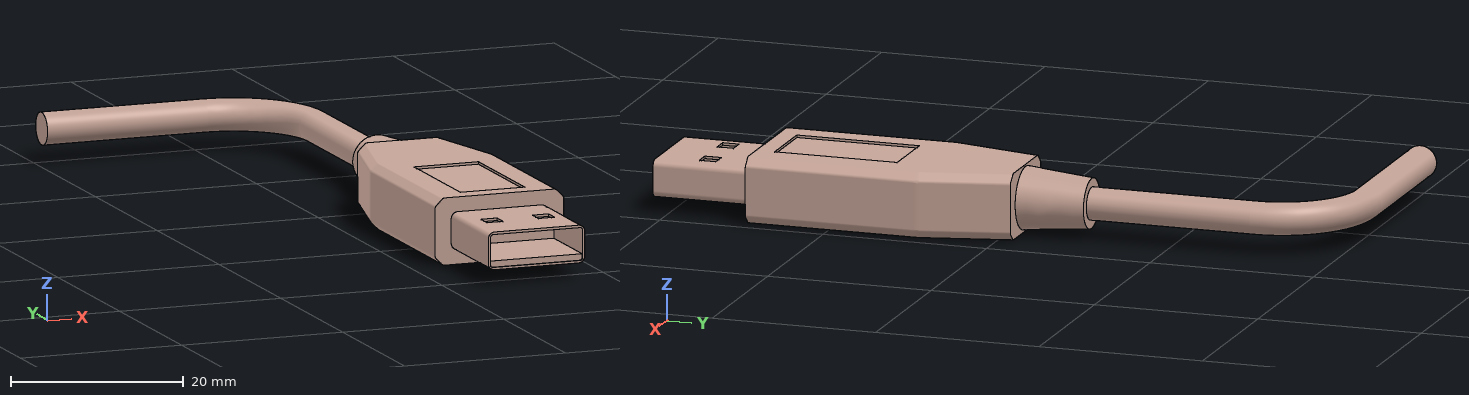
import cadquery as cq
import math


grip_width = 16.0
grip_height = 8.0
grip_length = 31.6
grip_rear_width = 11.0
taper_length = 10.65
taper_blend_radius = 2.8
grip_chamfer = 1.0
chamfer_blend_radius = 0.5

panel_width = 8.0
panel_length = 15.0
panel_front_gap = 2.25
panel_depth = 0.3

shell_width = 12.0
shell_height = 4.5
shell_length = 12.0
shell_corner_radius = 0.8
shell_wall = 0.3
opening_corner_radius = 0.3
cavity_depth = 9.3

tongue_thickness = 0.75
tongue_setback = 0.15

window_size = 2.0
window_spacing = 6.4
window_front_distance = 6.1

relief_length = 8.1
relief_front_diameter = 7.5
relief_rear_diameter = 6.0

cable_diameter = 3.9
cable_straight = 20.0
bend_radius = 10.08


def make_grip():
    """Tapered block with its long top and bottom edges chamfered and softened."""
    half_width = grip_width / 2
    half_rear = grip_rear_width / 2
    shoulder_y = grip_length - taper_length
    body = (
        cq.Workplane("XY")
        .workplane(offset=-grip_height / 2)
        .moveTo(-half_width, 0)
        .lineTo(half_width, 0)
        .lineTo(half_width, shoulder_y)
        .lineTo(half_rear, grip_length)
        .lineTo(-half_rear, grip_length)
        .lineTo(-half_width, shoulder_y)
        .close()
        .extrude(grip_height)
    )
    body = body.edges("|Z and (not <Y) and (not >Y)").fillet(taper_blend_radius)
    body = body.faces("|Z").edges("not #Y").chamfer(grip_chamfer)
    body = body.edges("#Z and (not #Y)").fillet(chamfer_blend_radius)
    panel = (
        cq.Workplane("XY")
        .box(panel_width, panel_length, panel_depth, centered=(True, False, False))
        .translate((0, panel_front_gap, grip_height / 2 - panel_depth))
    )
    return body.cut(panel)


def make_shell():
    """Rounded metal tube, open at the front, with the tongue along its floor."""
    outer = (
        cq.Workplane("XZ")
        .rect(shell_width, shell_height)
        .extrude(shell_length)
        .edges("|Y")
        .fillet(shell_corner_radius)
    )
    opening = (
        cq.Workplane("XZ")
        .rect(shell_width - 2 * shell_wall, shell_height - 2 * shell_wall)
        .extrude(cavity_depth)
        .edges("|Y")
        .fillet(opening_corner_radius)
        .translate((0, cavity_depth - shell_length, 0))
    )
    tongue = (
        cq.Workplane("XY")
        .box(shell_width, cavity_depth, tongue_thickness, centered=(True, False, False))
        .translate((0, tongue_setback - shell_length, shell_wall - shell_height / 2))
    )
    windows = (
        cq.Workplane("XY")
        .rarray(window_spacing, 1, 2, 1)
        .rect(window_size, window_size)
        .extrude(shell_height / 2)
        .translate((0, window_front_distance - shell_length, 0))
    )
    cavity = opening.cut(tongue)
    return outer.cut(cavity).cut(windows)


def make_strain_relief():
    """Cone that narrows from the rear of the grip towards the cable."""
    return (
        cq.Workplane("XZ", origin=(0, grip_length, 0))
        .circle(relief_front_diameter / 2)
        .workplane(offset=-relief_length)
        .circle(relief_rear_diameter / 2)
        .loft(ruled=True)
    )


def make_cable():
    """Round cable that leaves along +Y, bends a quarter turn and runs on along -X."""
    start_y = grip_length + relief_length
    bend_start_y = start_y + cable_straight
    run_y = bend_start_y + bend_radius
    bend_middle = bend_radius * math.cos(math.radians(45))
    path = (
        cq.Workplane("XY")
        .moveTo(0, start_y)
        .lineTo(0, bend_start_y)
        .threePointArc(
            (bend_middle - bend_radius, bend_start_y + bend_middle),
            (-bend_radius, run_y),
        )
        .lineTo(-bend_radius - cable_straight, run_y)
    )
    return cq.Workplane("XZ", origin=(0, start_y, 0)).circle(cable_diameter / 2).sweep(path)


result = make_grip().union(make_shell()).union(make_strain_relief()).union(make_cable())